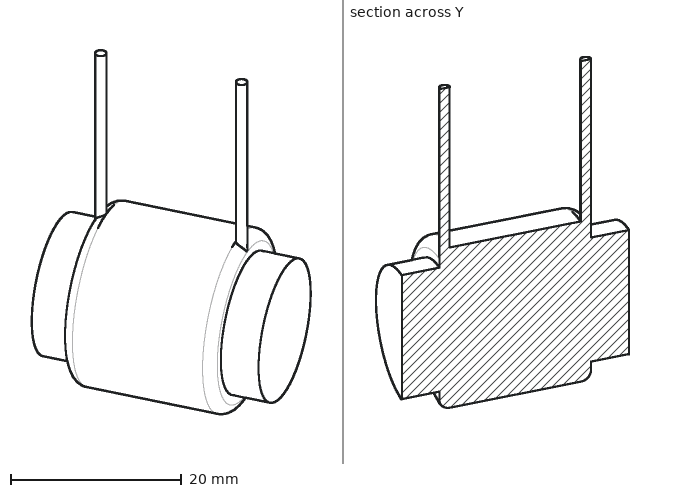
import cadquery as cq

overall_height = 44.6
core_length = 28.45
core_diameter = 17.3
winding_length = 19.0
winding_diameter = 22.35
winding_edge_radius = 1.35
lead_diameter = 1.35

winding_radius = winding_diameter / 2
lead_top = overall_height - winding_radius
lead_offset = (winding_length - lead_diameter) / 2


def rod_along_x(diameter, length):
    """Round bar along X, centred on the origin."""
    return cq.Workplane("YZ", origin=(-length / 2, 0, 0)).circle(diameter / 2).extrude(length)


def lead(x):
    """Straight wire rising from the core axis out through the winding."""
    return (
        cq.Workplane("XY", origin=(x, 0, 0))
        .circle(lead_diameter / 2)
        .extrude(lead_top)
    )


core = rod_along_x(core_diameter, core_length)
winding = rod_along_x(winding_diameter, winding_length).edges("%CIRCLE").fillet(winding_edge_radius)
result = core.union(winding)

for side in (-1, 1):
    result = result.union(lead(side * lead_offset))